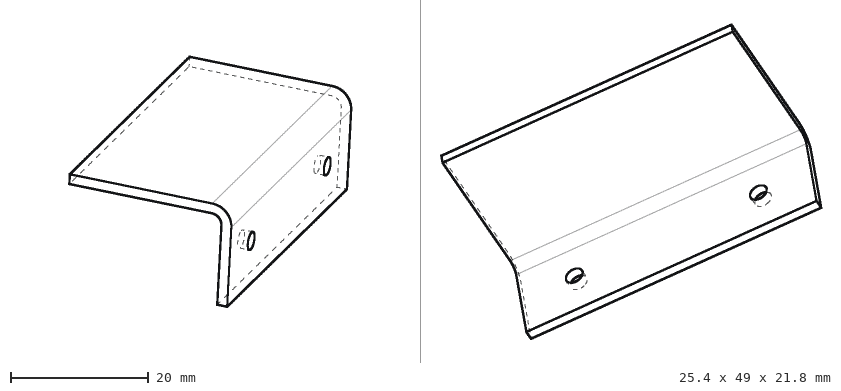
import cadquery as cq

flange_width = 25.4
leg_height = 15.75
length = 47.3
thickness = 1.55
inner_bend_radius = 1.55
outer_bend_radius = inner_bend_radius + thickness
tilt_angle = -7.5

hole_diameter = 2.7
hole_spacing = 30.0
hole_height = 7.1
hole_offset = -0.1


def make_angle():
    """L section with the flange on top and the leg on the +X side."""
    flange_underside = leg_height - thickness
    leg_inner_face = flange_width - thickness
    section = (
        cq.Workplane("XZ")
        .moveTo(0, leg_height)
        .lineTo(flange_width - outer_bend_radius, leg_height)
        .radiusArc((flange_width, leg_height - outer_bend_radius), outer_bend_radius)
        .lineTo(flange_width, 0)
        .lineTo(leg_inner_face, 0)
        .lineTo(leg_inner_face, flange_underside - inner_bend_radius)
        .radiusArc((leg_inner_face - inner_bend_radius, flange_underside), -inner_bend_radius)
        .lineTo(0, flange_underside)
        .close()
    )
    return section.extrude(length / 2, both=True)


def make_hole_cutters():
    """Two cylinders along X that pass through the leg only."""
    return (
        cq.Workplane("YZ", origin=(flange_width - 2 * thickness, 0, hole_height))
        .pushPoints([(hole_offset + side * hole_spacing / 2, 0) for side in (-1, 1)])
        .circle(hole_diameter / 2)
        .extrude(3 * thickness)
    )


bracket = make_angle().cut(make_hole_cutters())
centred = bracket.translate((-flange_width / 2, 0, -leg_height / 2))
result = centred.rotate((0, 0, 0), (1, 0, 0), tilt_angle)